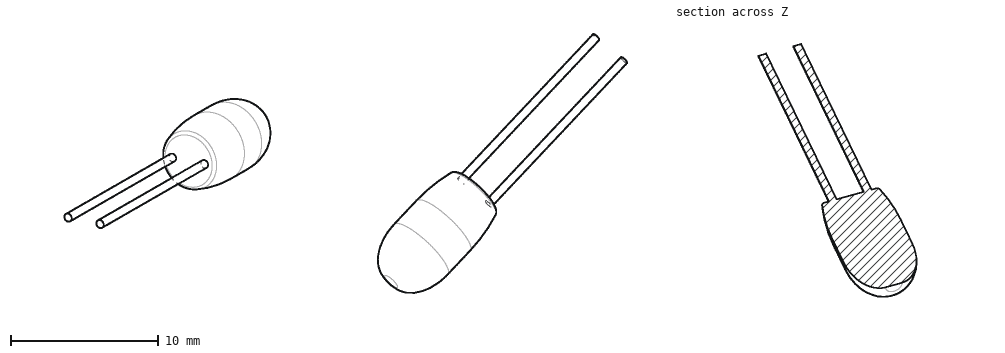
import cadquery as cq
import math


total_length = 22.55
body_diameter = 5.0
tail_length = 3.23
barrel_length = 2.3
nose_length = 3.1
tip_radius = 0.59
base_radius = 2.05
base_fillet = 0.25
lead_diameter = 0.59
lead_pitch = 2.53

body_radius = body_diameter / 2
barrel_end = tail_length + barrel_length
body_length = barrel_end + nose_length
lead_length = total_length - body_length

taper = body_radius - base_radius
tail_arc_radius = (tail_length**2 + taper**2) / (2 * taper)
tail_middle = (
    body_radius - tail_arc_radius + math.sqrt(tail_arc_radius**2 - (tail_length / 2) ** 2),
    tail_length / 2,
)


def make_body():
    """Revolve the half outline about Y and round the rim of the base."""
    outline = (
        cq.Workplane("XY")
        .lineTo(base_radius, 0)
        .threePointArc(tail_middle, (body_radius, tail_length))
        .lineTo(body_radius, barrel_end)
    )
    outline = outline.ellipseArc(
        body_radius - tip_radius, nose_length, angle1=0, angle2=90, startAtCurrent=True
    )
    body = outline.lineTo(0, body_length).close().revolve(360, (0, 0, 0), (0, 1, 0))
    return body.faces("<Y").edges().fillet(base_fillet)


def make_leads():
    """Two round wires side by side along X, from the base toward -Y."""
    lead_places = [(-lead_pitch / 2, 0), (lead_pitch / 2, 0)]
    return cq.Workplane("XZ").pushPoints(lead_places).circle(lead_diameter / 2).extrude(lead_length)


result = make_body().union(make_leads())